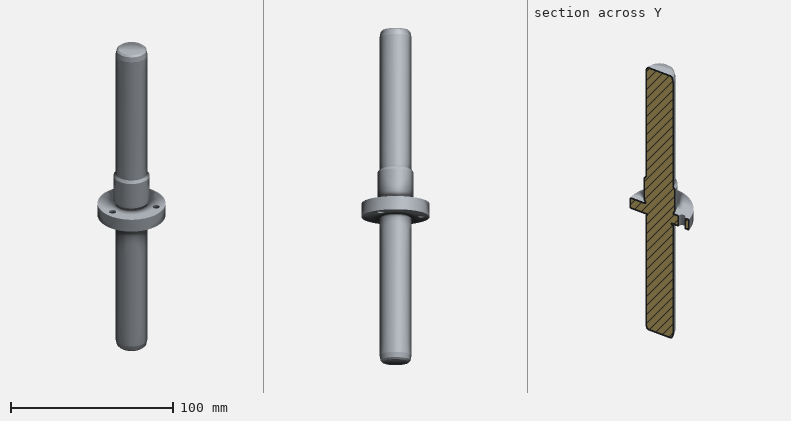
import cadquery as cq

total_length = 210.0
flange_diameter = 42.0
flange_bottom = 92.0
flange_thickness = 8.5
flange_top = flange_bottom + flange_thickness

shaft_radius = 9.9
tip_radius = 9.2
end_face_radius = 8.2
end_chamfer_height = 1.0
lead_in_length = 4.2

relief_radius = 8.6
relief_height = 1.0

collar_radius = 11.1
collar_top = 122.0
collar_top_chamfer_height = 1.9
collar_neck_radius = 10.0
collar_bottom_chamfer_height = 1.9
collar_neck_height = 0.6

hole_count = 3
hole_diameter = 4.5
hole_circle_radius = 16.0


def make_shaft():
    """Full-length shaft body, revolved about the Z axis."""
    profile = [
        (0, 0),
        (end_face_radius, 0),
        (tip_radius, end_chamfer_height),
        (shaft_radius, lead_in_length),
        (shaft_radius, flange_bottom - relief_height),
        (relief_radius, flange_bottom),
        (relief_radius, flange_top),
        (shaft_radius, flange_top),
        (shaft_radius, total_length - lead_in_length),
        (tip_radius, total_length - end_chamfer_height),
        (end_face_radius, total_length),
        (0, total_length),
    ]
    return cq.Workplane("XZ").polyline(profile).close().revolve(360, (0, 0), (0, 1))


def make_collar():
    """Collar with a narrow neck at the flange and a chamfer at its upper end."""
    profile = [
        (0, flange_top),
        (collar_neck_radius, flange_top),
        (collar_neck_radius, flange_top + collar_neck_height),
        (collar_radius, flange_top + collar_neck_height + collar_bottom_chamfer_height),
        (collar_radius, collar_top - collar_top_chamfer_height),
        (shaft_radius, collar_top),
        (0, collar_top),
    ]
    return cq.Workplane("XZ").polyline(profile).close().revolve(360, (0, 0), (0, 1))


def make_flange():
    """Round flange with equally spaced through holes, the first on +X."""
    flange = (
        cq.Workplane("XY")
        .workplane(offset=flange_bottom)
        .circle(flange_diameter / 2)
        .extrude(flange_thickness)
    )
    holes = (
        cq.Workplane("XY")
        .workplane(offset=flange_bottom)
        .polarArray(hole_circle_radius, 0, 360, hole_count)
        .circle(hole_diameter / 2)
        .extrude(flange_thickness)
    )
    return flange.cut(holes)


result = make_shaft().union(make_flange()).union(make_collar())